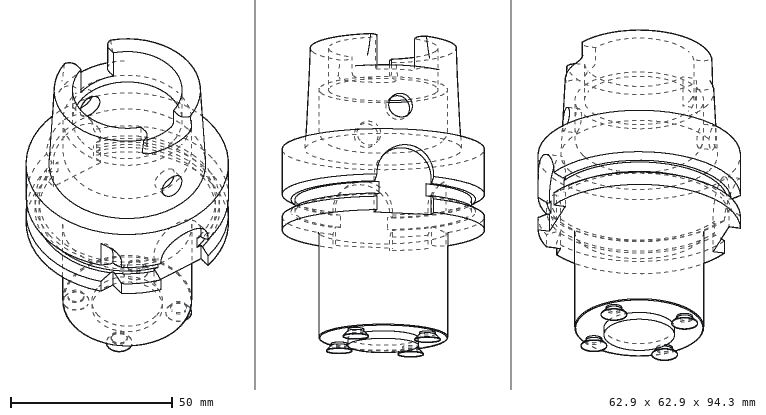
import cadquery as cq
import math

top_z = 94.3
left_key_floor_z = 84.2
right_key_floor_z = 88.2
overhang_z = 81.1
cross_hole_z = 71.4
bore_floor_z = 64.3
flange_top_z = 62.2
groove_top_z = 46.3
groove_bottom_z = 42.4
flange_bottom_z = 36.6
shank_bottom_z = 2.4

taper_top_radius = 22.7
taper_base_radius = 24.3
flange_radius = 62.9 / 2
groove_radius = 27.4
groove_bevel_height = 1.6
groove_bevel_depth = groove_bevel_height * math.tan(math.radians(60))
shank_radius = 40.1 / 2
neck_fillet = 1.1
shank_chamfer = 0.3
centre_disc_radius = 22.0 / 2

bore_radius = 34.0 / 2
undercut_radius = 40.0 / 2
bore_floor_fillet = 4.15
cross_hole_diameter = 7.5

key_half_width = 6.2
key_face_x = 20.9
key_corner_radius = 2.9
key_flare_angle = math.radians(29)
key_flare_y = 15.1
right_key_fillet = 1.2

slot_radius = 9.05
slot_top_z = 57.3
groove_slot_half_width = 7.45
slot_floor_x = math.sqrt(groove_radius**2 - groove_slot_half_width**2)
notch_floor_x = 19.7
notch_wall_y = -19.9
notch_radius = 8.0
notch_centre_z = 50.0

screw_offset = 11.4
screw_neck_radius = 5.0 / 2
screw_head_radius = 8.0 / 2
screw_neck_length = 0.6
screw_rim_height = 0.2

clearance = 4.7


def turned_body():
    shoulder_z = flange_bottom_z - neck_fillet
    arc_offset = neck_fillet * (1 - math.sqrt(0.5))
    return (
        cq.Workplane("XZ")
        .moveTo(0, 0)
        .lineTo(centre_disc_radius, 0)
        .lineTo(centre_disc_radius, shank_bottom_z)
        .lineTo(shank_radius - shank_chamfer, shank_bottom_z)
        .lineTo(shank_radius, shank_bottom_z + shank_chamfer)
        .lineTo(shank_radius, shoulder_z)
        .threePointArc(
            (shank_radius + arc_offset, flange_bottom_z - arc_offset),
            (shank_radius + neck_fillet, flange_bottom_z),
        )
        .lineTo(flange_radius, flange_bottom_z)
        .lineTo(flange_radius, groove_bottom_z - groove_bevel_height)
        .lineTo(flange_radius - groove_bevel_depth, groove_bottom_z)
        .lineTo(groove_radius, groove_bottom_z)
        .lineTo(groove_radius, groove_top_z)
        .lineTo(flange_radius - groove_bevel_depth, groove_top_z)
        .lineTo(flange_radius, groove_top_z + groove_bevel_height)
        .lineTo(flange_radius, flange_top_z)
        .lineTo(taper_base_radius, flange_top_z)
        .lineTo(taper_top_radius, top_z)
        .lineTo(0, top_z)
        .close()
        .revolve(360, (0, 0, 0), (0, 1, 0))
    )


def bore():
    entry = cq.Workplane("XY").workplane(offset=overhang_z).circle(bore_radius)
    chamber = (
        cq.Workplane("XY")
        .workplane(offset=bore_floor_z)
        .circle(undercut_radius)
        .extrude(overhang_z - bore_floor_z)
        .faces("<Z")
        .edges()
        .fillet(bore_floor_fillet)
    )
    return chamber.union(entry.extrude(top_z - overhang_z))


def cross_hole():
    return (
        cq.Workplane("YZ")
        .center(0, cross_hole_z)
        .circle(cross_hole_diameter / 2)
        .extrude(flange_radius, both=True)
    )


def keyway(floor_z):
    """Keyway on the +X side: a slot whose rounded corners flare into a flat."""
    arc_x = key_face_x - key_corner_radius
    arc_y = key_half_width + key_corner_radius
    inner_x = bore_radius - clearance
    outer_x = flange_radius

    def on_corner(angle):
        return (
            arc_x + key_corner_radius * math.cos(angle),
            arc_y + key_corner_radius * math.sin(angle),
        )

    flare_start = on_corner(key_flare_angle)
    flare_end = (
        flare_start[0] - (key_flare_y - flare_start[1]) * math.tan(key_flare_angle),
        key_flare_y,
    )
    upper_half = (
        cq.Workplane("XY")
        .workplane(offset=floor_z)
        .moveTo(inner_x, 0)
        .lineTo(inner_x, key_half_width)
        .lineTo(arc_x, key_half_width)
        .threePointArc(on_corner(-math.pi / 4), flare_start)
        .lineTo(*flare_end)
        .lineTo(outer_x, key_flare_y)
        .lineTo(outer_x, 0)
        .close()
        .extrude(top_z - floor_z + clearance)
    )
    return upper_half.union(upper_half.mirror("XZ")).clean()


def left_keyway():
    return keyway(left_key_floor_z).mirror("YZ")


def right_keyway():
    return keyway(right_key_floor_z).faces("<Z").edges().fillet(right_key_fillet)


def round_topped_slot(floor_x, centre_y, centre_z, radius):
    """Slot milled along X from the +X side and open at the flange bottom."""
    return (
        cq.Workplane("YZ")
        .workplane(offset=floor_x)
        .moveTo(centre_y - radius, flange_bottom_z)
        .lineTo(centre_y - radius, centre_z)
        .threePointArc((centre_y, centre_z + radius), (centre_y + radius, centre_z))
        .lineTo(centre_y + radius, flange_bottom_z)
        .close()
        .extrude(flange_radius - floor_x + clearance)
    )


def gripper_slot():
    return round_topped_slot(slot_floor_x, 0, slot_top_z - slot_radius, slot_radius)


def orientation_notch():
    centre_y = notch_wall_y - notch_radius
    return round_topped_slot(notch_floor_x, centre_y, notch_centre_z, notch_radius)


def screw(x, y):
    return (
        cq.Workplane("XZ")
        .lineTo(screw_head_radius, 0)
        .lineTo(screw_head_radius, screw_rim_height)
        .lineTo(screw_neck_radius, shank_bottom_z - screw_neck_length)
        .lineTo(screw_neck_radius, shank_bottom_z)
        .lineTo(0, shank_bottom_z)
        .close()
        .revolve(360, (0, 0, 0), (0, 1, 0))
        .translate((x, y, 0))
    )


result = turned_body().cut(bore()).cut(cross_hole())
result = result.cut(left_keyway()).cut(right_keyway())
result = result.cut(gripper_slot()).cut(gripper_slot().mirror("YZ"))
result = result.cut(orientation_notch())
for x_side in (-1, 1):
    for y_side in (-1, 1):
        result = result.union(screw(x_side * screw_offset, y_side * screw_offset))